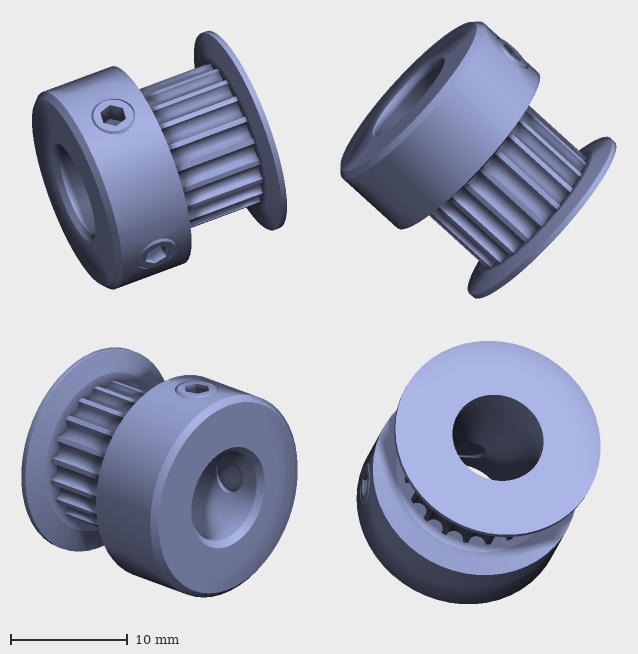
import cadquery as cq
import math


outer_radius = 9.0
bore_radius = 4.0
edge = 0.5
bevel_inner_radius = 7.05
hub_length = 7.5
total_length = 16.0
flange_length = 2 * edge
flange_start = total_length - flange_length

tooth_count = 20
tooth_tip_radius = 6.37
groove_half_width = 0.77
groove_depth = 0.75
pitch_angle = 360 / tooth_count

screw_diameter = 3.75
screw_face_diameter = 3.35
screw_chamfer = (screw_diameter - screw_face_diameter) / 2
screw_length = 4.86
pilot_diameter = 3.24
screw_inner_end = outer_radius - screw_length
screw_y = hub_length / 2
hex_across_flats = 2.0
hex_across_corners = hex_across_flats / math.cos(math.radians(30))
hex_depth = 2.0
hex_turn = -11.0
screw_turns = (0, 90)


def make_blank():
    """Revolve the hub, toothed drum and end flange, with a chamfered bore."""
    profile = [
        (bore_radius + edge, 0),
        (outer_radius - edge, 0),
        (outer_radius, edge),
        (outer_radius, hub_length - edge),
        (bevel_inner_radius, hub_length),
        (tooth_tip_radius, hub_length),
        (tooth_tip_radius, flange_start),
        (bevel_inner_radius, flange_start),
        (outer_radius, flange_start + edge),
        (outer_radius, total_length),
        (bore_radius, total_length),
        (bore_radius, edge),
    ]
    return cq.Workplane("XY").polyline(profile).close().revolve(360, (0, 0), (0, 1))


def make_groove_cutter():
    """Round-bottomed groove between two teeth, on the +Z side of the drum."""
    lip_height = math.sqrt(tooth_tip_radius**2 - groove_half_width**2)
    return (
        cq.Workplane("XZ", origin=(0, hub_length, 0))
        .moveTo(-groove_half_width, lip_height)
        .threePointArc((0, tooth_tip_radius - groove_depth), (groove_half_width, lip_height))
        .lineTo(groove_half_width, bevel_inner_radius)
        .lineTo(-groove_half_width, bevel_inner_radius)
        .close()
        .extrude(hub_length - flange_start)
    )


def turn_about_axis(shape, angle):
    return shape.rotate((0, 0, 0), (0, 1, 0), angle)


def make_screw_hole():
    """Radial hole on the +Z side: a pilot from the bore, widened to seat the screw."""
    pilot = (
        cq.Workplane("XY", origin=(0, screw_y, 0))
        .circle(pilot_diameter / 2)
        .extrude(outer_radius)
    )
    seat = (
        cq.Workplane("XY", origin=(0, screw_y, screw_inner_end))
        .circle(screw_diameter / 2)
        .extrude(screw_length)
    )
    return pilot.union(seat)


def make_pulley():
    pulley = make_blank()
    groove = make_groove_cutter()
    for index in range(tooth_count):
        pulley = pulley.cut(turn_about_axis(groove, index * pitch_angle))
    hole = make_screw_hole()
    for angle in screw_turns:
        pulley = pulley.cut(turn_about_axis(hole, angle))
    return pulley


def make_set_screw():
    """Set screw along +Z, its flat outer face tangent to the hub."""
    screw = (
        cq.Workplane("XY", origin=(0, screw_y, screw_inner_end))
        .circle(screw_diameter / 2)
        .extrude(screw_length)
        .faces(">Z")
        .chamfer(screw_chamfer)
    )
    socket = (
        cq.Workplane("XY", origin=(0, screw_y, outer_radius - hex_depth))
        .transformed(rotate=(0, 0, hex_turn))
        .polygon(6, hex_across_corners)
        .extrude(hex_depth)
    )
    return screw.cut(socket)


pulley = make_pulley()
set_screws = [turn_about_axis(make_set_screw(), angle) for angle in screw_turns]

result = cq.Compound.makeCompound([pulley.val(), *[screw.val() for screw in set_screws]])